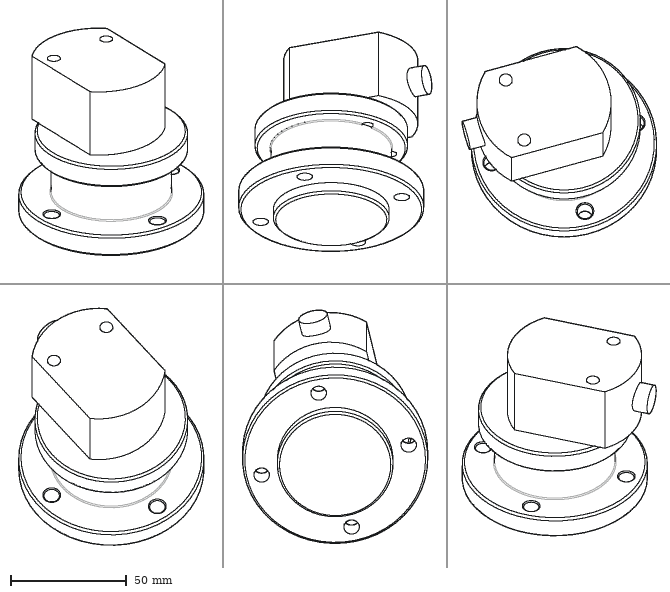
import cadquery as cq
import math


overall_length = 84.0

rotor_diameter = 50.0
rotor_height = 5.0

flange_diameter = 80.0
flange_height = 10.0
neck_diameter = 52.0
neck_height = 2 * flange_height
collar_diameter = 65.9
collar_height = flange_height
rim_chamfer = 1.0
neck_fillet = 0.5

mounting_hole_count = 4
mounting_hole_diameter = 6.6
mounting_hole_chamfer = 0.5
mounting_circle_diameter = 65.0

head_diameter = 58.0
head_width = 41.0
head_height = 31.0
head_offset_x = -9.0

stub_diameter = 12.7
stub_drop = 16.0

screw_hole_x = -22.0
screw_hole_y = 14.3
collar_screw_diameter = 5.0
screw_hole_chamfer = 0.25
head_screw_diameter = collar_screw_diameter + 2 * screw_hole_chamfer

flange_bottom = rotor_height
flange_top = flange_bottom + flange_height
collar_bottom = flange_top + neck_height
collar_top = collar_bottom + collar_height
head_top = collar_top + head_height

screw_positions = [(screw_hole_x, side * screw_hole_y) for side in (-1, 1)]


def disc(diameter, height, bottom):
    """Plain round disc on the base axis."""
    return cq.Workplane("XY", origin=(0, 0, bottom)).circle(diameter / 2).extrude(height)


def chamfered_hole(x, y, top, depth, diameter, chamfer):
    """Cutter for a vertical hole with a chamfered mouth at its top."""
    hole = cq.Workplane("XY", origin=(x, y, top)).circle(diameter / 2).extrude(-depth)
    mouth = cq.Solid.makeCone(
        diameter / 2 + chamfer,
        diameter / 2,
        chamfer,
        pnt=cq.Vector(x, y, top),
        dir=cq.Vector(0, 0, -1),
    )
    return hole.union(cq.Workplane(mouth))


def make_rotor():
    """Disc below the flange, chamfered around its lower rim."""
    return disc(rotor_diameter, rotor_height, 0).faces("<Z").edges().chamfer(rim_chamfer)


def make_base():
    """Flange, neck and collar with filleted inner corners and drilled holes."""
    flange = disc(flange_diameter, flange_height, flange_bottom).edges().chamfer(rim_chamfer)
    collar = disc(collar_diameter, collar_height, collar_bottom).edges().chamfer(rim_chamfer)
    neck = disc(neck_diameter, neck_height, flange_top)
    base = flange.union(neck).union(collar)

    neck_corners = cq.selectors.RadiusNthSelector(0)
    base = base.edges("%CIRCLE").edges(neck_corners).fillet(neck_fillet)

    for x, y in screw_positions:
        screw_hole = chamfered_hole(
            x, y, collar_top, collar_height + neck_fillet, collar_screw_diameter, screw_hole_chamfer
        )
        base = base.cut(screw_hole.cut(neck))

    for index in range(mounting_hole_count):
        angle = 2 * math.pi * index / mounting_hole_count
        x = mounting_circle_diameter / 2 * math.cos(angle)
        y = mounting_circle_diameter / 2 * math.sin(angle)
        mounting_hole = chamfered_hole(
            x, y, flange_top, flange_height, mounting_hole_diameter, mounting_hole_chamfer
        )
        base = base.cut(mounting_hole)
    return base


def make_head():
    """Flat-sided round block with its cable stub and screw holes."""
    plane = cq.Workplane("XY", origin=(head_offset_x, 0, collar_top))
    block = plane.circle(head_diameter / 2).extrude(head_height)
    block = block.intersect(plane.rect(head_diameter, head_width).extrude(head_height))

    stub_tip_x = flange_diameter / 2 - overall_length
    stub = (
        cq.Workplane("YZ", origin=(stub_tip_x, 0, head_top - stub_drop))
        .circle(stub_diameter / 2)
        .extrude(head_offset_x - stub_tip_x)
    )

    screw_holes = (
        cq.Workplane("XY", origin=(0, 0, collar_top))
        .pushPoints(screw_positions)
        .circle(head_screw_diameter / 2)
        .extrude(head_height)
    )
    return block.union(stub).cut(screw_holes)


rotor = make_rotor()
base = make_base()
head = make_head()

result = cq.Compound.makeCompound([rotor.solids().val(), base.solids().val(), head.solids().val()])